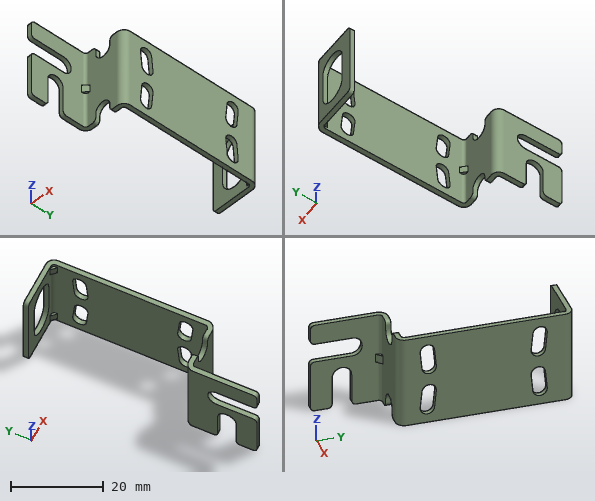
import cadquery as cq
import math

width = 13.2
length = 56.0
height = 21.5
thickness = 1.25
outer_radius = 2.0
inner_radius = outer_radius - thickness
corner_radius = 1.0
step_y = 17.3
mid_x = width / 2
mid_z = height / 2

plate_slot_width = 3.25
plate_slot_mid_y = 35.5
plate_slot_outer_end = (12.75, 7.0)
plate_slot_inner_end = (12.4, 3.0)

flange_slot_width = 7.15
flange_slot_height = 15.2

notch_width = 4.4
web_notch_depth = 4.2
tab_side_notch_z = 14.5
tab_side_notch_depth = 11.75
tab_bottom_notch_y = 7.15
tab_bottom_notch_depth = 9.75

gusset_leg = 1.3
gusset_width = 1.95
end_gusset_inset = 0.7


def bent_strip():
    """Sheet profile bent three times, extruded upwards."""
    profile = (
        cq.Workplane("XY")
        .moveTo(0, 0)
        .lineTo(thickness, 0)
        .lineTo(thickness, step_y - thickness)
        .lineTo(width, step_y - thickness)
        .lineTo(width, length)
        .lineTo(0, length)
        .lineTo(0, length - thickness)
        .lineTo(width - thickness, length - thickness)
        .lineTo(width - thickness, step_y)
        .lineTo(0, step_y)
        .close()
        .extrude(height)
    )
    inner_bends = [
        (thickness, step_y - thickness),
        (width - thickness, step_y),
        (width - thickness, length - thickness),
    ]
    outer_bends = [(0, step_y), (width, step_y - thickness), (width, length)]
    for bends, radius in ((inner_bends, inner_radius), (outer_bends, outer_radius)):
        for x, y in bends:
            profile = profile.edges(cq.selectors.NearestToPointSelector((x, y, mid_z))).fillet(radius)
    return profile


def gusset(corner_x, corner_y, x_direction, y_direction, bottom_z):
    """Triangular rib filling an inside corner, reaching along both walls."""
    overlap = thickness / 2
    back_x = corner_x - x_direction * overlap
    back_y = corner_y - y_direction * overlap
    return (
        cq.Workplane("XY", origin=(0, 0, bottom_z))
        .moveTo(back_x, back_y)
        .lineTo(corner_x + x_direction * gusset_leg, back_y)
        .lineTo(corner_x + x_direction * gusset_leg, corner_y)
        .lineTo(corner_x, corner_y + y_direction * gusset_leg)
        .lineTo(back_x, corner_y + y_direction * gusset_leg)
        .close()
        .extrude(gusset_width)
    )


def notch(plane, depth):
    """Round-ended notch from the plane origin along local +Y, with a flared mouth."""
    half = notch_width / 2
    mouth = half + corner_radius
    bend = corner_radius * (1 - math.sqrt(0.5))
    return (
        cq.Workplane(plane)
        .moveTo(-mouth, 0)
        .threePointArc((-half - bend, bend), (-half, corner_radius))
        .lineTo(-half, depth - half)
        .threePointArc((0, depth), (half, depth - half))
        .lineTo(half, corner_radius)
        .threePointArc((half + bend, bend), (mouth, 0))
        .close()
        .extrude(2 * thickness, both=True)
    )


def plate_slot(y_side, z_side):
    """Slightly tilted obround through the main plate."""
    ends = [
        (plate_slot_mid_y + y_side * y, mid_z + z_side * z)
        for y, z in (plate_slot_outer_end, plate_slot_inner_end)
    ]
    start = cq.Vector(*ends[0])
    end = cq.Vector(*ends[1])
    direction = end - start
    angle = math.degrees(math.atan2(direction.y, direction.x))
    middle = (start + end) * 0.5
    return (
        cq.Workplane("YZ", origin=(width - 2 * thickness, 0, 0))
        .center(middle.x, middle.y)
        .slot2D(direction.Length + plate_slot_width, plate_slot_width, angle)
        .extrude(3 * thickness)
    )


body = bent_strip()
body = body.faces("<Y").edges("|X").fillet(corner_radius)
for z in (0, height):
    flange_corner = cq.selectors.NearestToPointSelector((0, length - thickness / 2, z))
    body = body.edges("|Y").edges(flange_corner).fillet(corner_radius)

body = body.union(gusset(thickness, step_y - thickness, 1, -1, mid_z - gusset_width / 2))
body = body.union(gusset(width - thickness, step_y, -1, 1, mid_z - gusset_width / 2))
for bottom_z in (end_gusset_inset, height - end_gusset_inset - gusset_width):
    body = body.union(gusset(width - thickness, length - thickness, -1, -1, bottom_z))

for y_side in (-1, 1):
    for z_side in (-1, 1):
        body = body.cut(plate_slot(y_side, z_side))

flange_slot = (
    cq.Workplane("XZ", origin=(mid_x, length + thickness, mid_z))
    .slot2D(flange_slot_height, flange_slot_width, 90)
    .extrude(3 * thickness)
)
body = body.cut(flange_slot)

web_mid_y = step_y - thickness / 2
for z, up in ((0, 1), (height, -1)):
    web_plane = cq.Plane(origin=(mid_x, web_mid_y, z), xDir=(up, 0, 0), normal=(0, -1, 0))
    body = body.cut(notch(web_plane, web_notch_depth))

side_plane = cq.Plane(origin=(0, 0, tab_side_notch_z), xDir=(0, 0, 1), normal=(-1, 0, 0))
bottom_plane = cq.Plane(origin=(0, tab_bottom_notch_y, 0), xDir=(0, 1, 0), normal=(1, 0, 0))
body = body.cut(notch(side_plane, tab_side_notch_depth))
body = body.cut(notch(bottom_plane, tab_bottom_notch_depth))

result = body